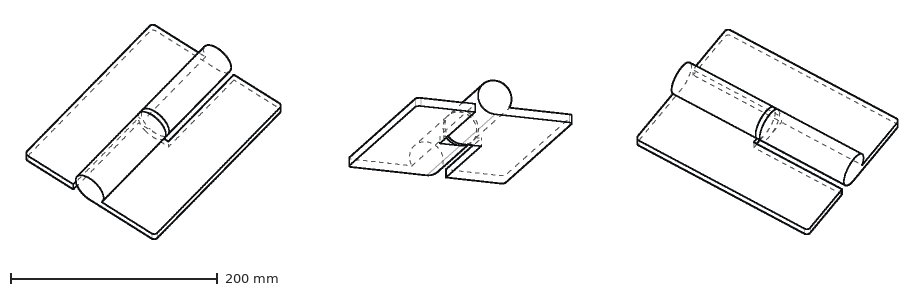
import cadquery as cq

length = 200.0
width = 160.0
barrel_diameter = 34.5
plate_thickness = 8.5
corner_radius = 4.0
slot_gap = 3.0
washer_thickness = 5.0

barrel_radius = barrel_diameter / 2
half_width = width / 2
half_length = length / 2
half_washer = washer_thickness / 2
slot_edge = barrel_radius + slot_gap


def axial_cylinder(start_y, end_y):
    """Solid cylinder on the hinge axis; its lowest line lies on Z = 0."""
    return (
        cq.Workplane("XZ", origin=(0, start_y, barrel_radius))
        .circle(barrel_radius)
        .extrude(start_y - end_y)
    )


def make_right_leaf():
    """Leaf on +X: a plate notched around the far barrel, with its own near barrel."""
    plate = (
        cq.Workplane("XY")
        .moveTo(0, -half_length)
        .lineTo(half_width, -half_length)
        .lineTo(half_width, half_length)
        .lineTo(slot_edge, half_length)
        .lineTo(slot_edge, -half_washer)
        .lineTo(0, -half_washer)
        .close()
        .extrude(plate_thickness)
        .edges("|Z and >X")
        .fillet(corner_radius)
    )
    return plate.union(axial_cylinder(-half_length, -half_washer))


def make_leaf(turn):
    """Leaf turned about the vertical line through the hinge centre."""
    return make_right_leaf().rotate((0, 0, 0), (0, 0, 1), turn)


def make_washer():
    """Spacer disc between the two barrels."""
    return axial_cylinder(-half_washer, half_washer)


leaves = [make_leaf(turn) for turn in (0, 180)]
washer = make_washer()

result = cq.Compound.makeCompound([*[leaf.val() for leaf in leaves], washer.val()])